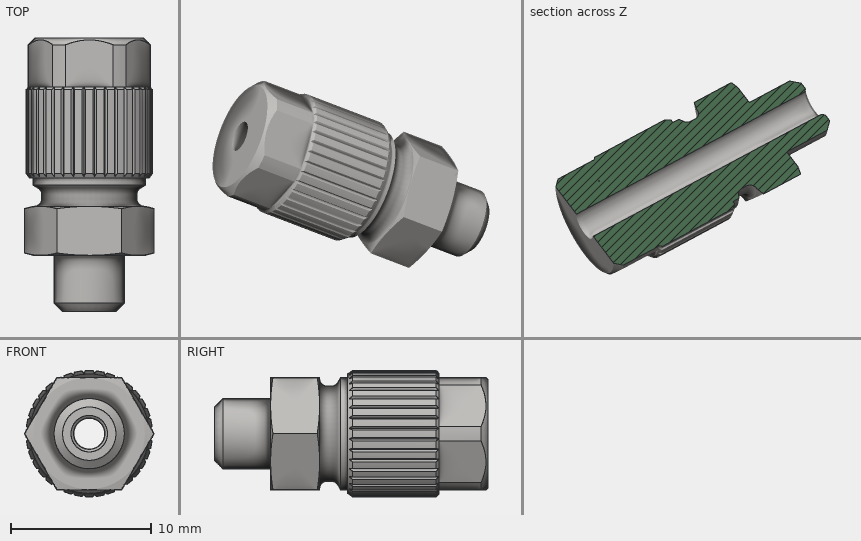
import cadquery as cq
import math


SPIGOT_LENGTH = 4.0
BODY_HEX_LENGTH = 3.5
NECK_LENGTH = 1.5
COLLAR_LENGTH = 0.5
KNURL_LENGTH = 6.5
CAP_HEX_LENGTH = 3.5

ACROSS_FLATS = 8.0
ACROSS_CORNERS = ACROSS_FLATS / math.cos(math.radians(30))
BODY_FACE_DIAMETER = 7.95
BODY_CHAMFER_ANGLE = 15.0
CAP_CORNER_DIAMETER = 8.7
CAP_CHAMFER = 0.5

SPIGOT_DIAMETER = 5.0
SPIGOT_CHAMFER = 0.6
BORE_DIAMETER = 2.2
BORE_CHAMFER = 0.2

NECK_DIAMETER = 6.8
NECK_FILLET = 0.5
COLLAR_DIAMETER = 8.0
COLLAR_CONE_ANGLE = 60.0

KNURL_DIAMETER = 9.0
KNURL_FRONT_CHAMFER_LENGTH = 0.35
KNURL_FRONT_CHAMFER_DEPTH = 0.25
KNURL_BACK_CHAMFER = 0.2
GROOVE_COUNT = 36
GROOVE_DEPTH = 0.17
GROOVE_ANGLE = 75.0

BODY_HEX_START = SPIGOT_LENGTH
NECK_START = BODY_HEX_START + BODY_HEX_LENGTH
COLLAR_START = NECK_START + NECK_LENGTH
KNURL_START = COLLAR_START + COLLAR_LENGTH
CAP_HEX_START = KNURL_START + KNURL_LENGTH
CAP_END = CAP_HEX_START + CAP_HEX_LENGTH


def revolve_profile(points):
    """Revolve a closed outline of (radius, y) points about the Y axis."""
    return cq.Workplane("XY").polyline(points).close().revolve(360, (0, 0, 0), (0, 1, 0))


def hex_prism(start, length):
    """Hexagonal prism along +Y with two corners on the X axis."""
    return (
        cq.Workplane("XZ", origin=(0, start, 0))
        .polygon(6, ACROSS_CORNERS)
        .extrude(-length)
    )


def make_spigot():
    radius = SPIGOT_DIAMETER / 2
    return revolve_profile([
        (0, 0),
        (radius - SPIGOT_CHAMFER, 0),
        (radius, SPIGOT_CHAMFER),
        (radius, BODY_HEX_START),
        (0, BODY_HEX_START),
    ])


def make_body_hex():
    """Hexagon with its corners chamfered at both ends."""
    face_radius = BODY_FACE_DIAMETER / 2
    corner_radius = ACROSS_CORNERS / 2
    chamfer = (corner_radius - face_radius) * math.tan(math.radians(BODY_CHAMFER_ANGLE))
    envelope = revolve_profile([
        (0, BODY_HEX_START),
        (face_radius, BODY_HEX_START),
        (corner_radius, BODY_HEX_START + chamfer),
        (corner_radius, NECK_START - chamfer),
        (face_radius, NECK_START),
        (0, NECK_START),
    ])
    return hex_prism(BODY_HEX_START, BODY_HEX_LENGTH).intersect(envelope)


def make_neck_and_collar():
    """Waist that fillets into the body hexagon and blends into a conical collar."""
    neck_radius = NECK_DIAMETER / 2
    collar_radius = COLLAR_DIAMETER / 2
    cone_angle = math.radians(COLLAR_CONE_ANGLE)

    fillet_end = NECK_START + NECK_FILLET
    fillet_center_radius = neck_radius + NECK_FILLET
    diagonal = NECK_FILLET * math.sqrt(0.5)

    cone_radius = neck_radius + NECK_FILLET * (1 - math.cos(cone_angle))
    cone_start = COLLAR_START - (collar_radius - cone_radius) / math.tan(cone_angle)
    blend_start = cone_start - NECK_FILLET * math.sin(cone_angle)
    blend_middle = (
        neck_radius + NECK_FILLET * (1 - math.cos(cone_angle / 2)),
        blend_start + NECK_FILLET * math.sin(cone_angle / 2),
    )
    return (
        cq.Workplane("XY")
        .moveTo(0, NECK_START)
        .lineTo(fillet_center_radius, NECK_START)
        .threePointArc(
            (fillet_center_radius - diagonal, fillet_end - diagonal),
            (neck_radius, fillet_end),
        )
        .lineTo(neck_radius, blend_start)
        .threePointArc(blend_middle, (cone_radius, cone_start))
        .lineTo(collar_radius, COLLAR_START)
        .lineTo(collar_radius, KNURL_START)
        .lineTo(0, KNURL_START)
        .close()
        .revolve(360, (0, 0, 0), (0, 1, 0))
    )


def make_knurled_sleeve():
    """Chamfered cylinder with straight V grooves all round."""
    radius = KNURL_DIAMETER / 2
    sleeve = revolve_profile([
        (0, KNURL_START),
        (radius - KNURL_FRONT_CHAMFER_DEPTH, KNURL_START),
        (radius, KNURL_START + KNURL_FRONT_CHAMFER_LENGTH),
        (radius, CAP_HEX_START - KNURL_BACK_CHAMFER),
        (radius - KNURL_BACK_CHAMFER, CAP_HEX_START),
        (0, CAP_HEX_START),
    ])

    cutter_half_width = 2 * GROOVE_DEPTH * math.tan(math.radians(GROOVE_ANGLE / 2))
    cutter = (
        cq.Workplane("XZ", origin=(0, KNURL_START, 0))
        .moveTo(radius - GROOVE_DEPTH, 0)
        .lineTo(radius + GROOVE_DEPTH, cutter_half_width)
        .lineTo(radius + GROOVE_DEPTH, -cutter_half_width)
        .close()
        .extrude(-KNURL_LENGTH)
    )
    pitch_angle = 360 / GROOVE_COUNT
    cutters = cq.Workplane("XY")
    for index in range(GROOVE_COUNT):
        groove_angle = (index + 0.5) * pitch_angle
        cutters = cutters.add(cutter.rotate((0, 0, 0), (0, 1, 0), groove_angle))
    return sleeve.cut(cq.Workplane("XY").newObject([cq.Compound.makeCompound(cutters.vals())]))


def make_cap_hex():
    """Hexagon with turned corners and a chamfered end."""
    radius = CAP_CORNER_DIAMETER / 2
    envelope = revolve_profile([
        (0, CAP_HEX_START),
        (radius, CAP_HEX_START),
        (radius, CAP_END - CAP_CHAMFER),
        (radius - CAP_CHAMFER, CAP_END),
        (0, CAP_END),
    ])
    return hex_prism(CAP_HEX_START, CAP_HEX_LENGTH).intersect(envelope)


def make_bore():
    """Through bore with a chamfered mouth at the spigot tip."""
    radius = BORE_DIAMETER / 2
    return revolve_profile([
        (0, 0),
        (radius + BORE_CHAMFER, 0),
        (radius, BORE_CHAMFER),
        (radius, CAP_END),
        (0, CAP_END),
    ])


result = (
    make_spigot()
    .union(make_body_hex())
    .union(make_neck_and_collar())
    .union(make_knurled_sleeve())
    .union(make_cap_hex())
    .cut(make_bore())
)